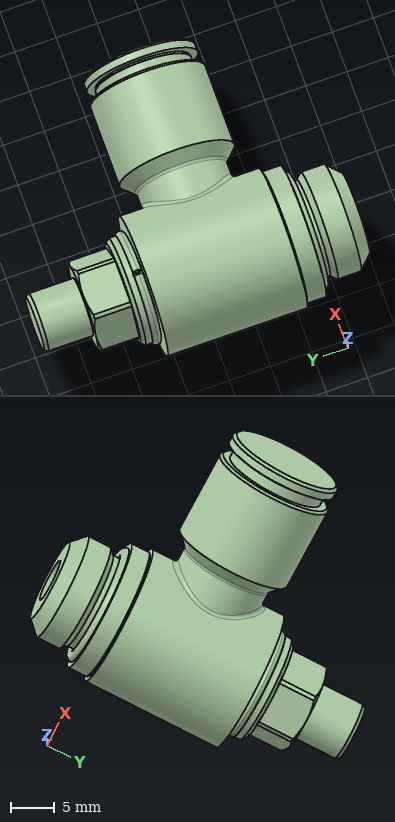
import cadquery as cq
import math


thread_cone_end = 1.6
thread_end = 4.45
neck_start = 5.15
seal_start = 5.7
flange_start = 6.4
flange_end = 8.7
body_start = 8.85
body_end = 25.82
collar_start = 27.0
collar_end = 28.3
hex_end = 33.1
stem_end = 39.0

thread_r = 6.5
thread_tip_r = thread_r - thread_cone_end
thread_neck_r = thread_r - (neck_start - thread_end)
seal_r = 7.3
seal_wire_r = flange_start - seal_start
flange_r = 8.0
washer_gap_r = 7.85
body_r = 8.5
ring_groove_r = 5.85
collar_r = thread_r
collar_chamfer = 0.45
stem_r = 3.5
stem_chamfer_length = 0.45
stem_chamfer_depth = 0.27

ring_wire_r = 0.55
ring_outer_r = 6.9
ring_y = collar_start - ring_wire_r
ring_split = 0.45

hex_flats = 10.0
hex_corner_r = 5.6
hex_top_r = 5.0
hex_chamfer_length = 0.35

bore_d = 5.07
bore_depth = body_start

branch_y = (body_start + body_end) / 2
branch_neck_r = 5.5
branch_neck_end = 10.45
blend_r = 0.5
cone_angle = math.radians(45)
barrel_r = 7.02
barrel_end = 22.45
barrel_chamfer = 0.3
sleeve_r = 5.85
sleeve_end = 23.68
sleeve_groove_r = 5.75
release_start = 23.95
release_end = 25.25
release_r = 6.8
release_chamfer = 0.35


def make_banjo():
    """Threaded end, seal, flange, body, collar and stem as one turned shape."""
    seal_mid_r = seal_r - seal_wire_r
    seal_inner_r = seal_mid_r - seal_wire_r
    profile = (
        cq.Workplane("XY")
        .moveTo(0, 0)
        .lineTo(thread_tip_r, 0)
        .lineTo(thread_r, thread_cone_end)
        .lineTo(thread_r, thread_end)
        .lineTo(thread_neck_r, neck_start)
        .lineTo(thread_neck_r, flange_start)
        .lineTo(seal_inner_r, flange_start)
        .threePointArc((seal_mid_r, seal_start), (seal_r, flange_start))
        .lineTo(flange_r, flange_start)
        .lineTo(flange_r, flange_end)
        .lineTo(washer_gap_r, flange_end)
        .lineTo(washer_gap_r, body_start)
        .lineTo(body_r, body_start)
        .lineTo(body_r, body_end)
        .lineTo(ring_groove_r, body_end)
        .lineTo(ring_groove_r, collar_start)
        .lineTo(collar_r, collar_start)
        .lineTo(collar_r, collar_end - collar_chamfer)
        .lineTo(collar_r - collar_chamfer, collar_end)
        .lineTo(stem_r, collar_end)
        .lineTo(stem_r, stem_end - stem_chamfer_length)
        .lineTo(stem_r - stem_chamfer_depth, stem_end)
        .lineTo(0, stem_end)
        .close()
    )
    return profile.revolve(360, (0, 0, 0), (0, 1, 0))


def make_branch():
    """Neck, flared barrel, sleeve and release collar, turned about the branch axis."""
    blend_end = branch_neck_end + blend_r * math.sin(cone_angle)
    blend_end_r = branch_neck_r + blend_r * (1 - math.cos(cone_angle))
    blend_mid = branch_neck_end + blend_r * math.sin(cone_angle / 2)
    blend_mid_r = branch_neck_r + blend_r * (1 - math.cos(cone_angle / 2))
    barrel_start = blend_end + (barrel_r - blend_end_r) / math.tan(cone_angle)
    profile = (
        cq.Workplane("XY", origin=(0, branch_y, 0))
        .moveTo(0, 0)
        .lineTo(0, branch_neck_r)
        .lineTo(branch_neck_end, branch_neck_r)
        .threePointArc((blend_mid, blend_mid_r), (blend_end, blend_end_r))
        .lineTo(barrel_start, barrel_r)
        .lineTo(barrel_end - barrel_chamfer, barrel_r)
        .lineTo(barrel_end, barrel_r - barrel_chamfer)
        .lineTo(barrel_end, sleeve_r)
        .lineTo(sleeve_end, sleeve_r)
        .lineTo(sleeve_end, sleeve_groove_r)
        .lineTo(release_start, sleeve_groove_r)
        .lineTo(release_start, release_r)
        .lineTo(release_end - release_chamfer, release_r)
        .lineTo(release_end, release_r - release_chamfer)
        .lineTo(release_end, 0)
        .close()
    )
    return profile.revolve(360, (0, 0, 0), (1, 0, 0))


def make_hexagon():
    """Adjuster hexagon with two flats facing +Z and -Z and its corners turned down."""
    length = hex_end - collar_end
    across_corners = hex_flats / math.cos(math.radians(30))
    prism = (
        cq.Workplane("XZ", origin=(0, collar_end, 0))
        .polygon(6, across_corners)
        .extrude(-length)
    )
    turned_blank = (
        cq.Workplane("XY")
        .moveTo(0, collar_end)
        .lineTo(hex_corner_r, collar_end)
        .lineTo(hex_corner_r, hex_end - hex_chamfer_length)
        .lineTo(hex_top_r, hex_end)
        .lineTo(0, hex_end)
        .close()
        .revolve(360, (0, 0, 0), (0, 1, 0))
    )
    return prism.intersect(turned_blank)


def make_snap_ring():
    """Round-wire ring, split on its +Z side."""
    ring = (
        cq.Workplane("XY")
        .center(ring_outer_r - ring_wire_r, ring_y)
        .circle(ring_wire_r)
        .revolve(360, (ring_wire_r - ring_outer_r, 0, 0), (ring_wire_r - ring_outer_r, 1, 0))
    )
    split = (
        cq.Workplane("XY", origin=(0, ring_y, 0))
        .rect(ring_split, 2 * ring_wire_r)
        .extrude(ring_outer_r)
    )
    return ring.cut(split)


def round_branch_joint(shape):
    """Round the edge where the branch neck runs into the cylindrical body."""
    joint_box = cq.selectors.BoxSelector(
        (0, branch_y - branch_neck_r - blend_r, -branch_neck_r - blend_r),
        (branch_neck_end - blend_r, branch_y + branch_neck_r + blend_r, branch_neck_r + blend_r),
        boundingbox=True,
    )
    return shape.edges(joint_box).fillet(blend_r)


result = round_branch_joint(make_banjo().union(make_branch()))
result = result.union(make_hexagon())
result = result.union(make_snap_ring())

bore = cq.Workplane("XZ").circle(bore_d / 2).extrude(-bore_depth)
result = result.cut(bore)